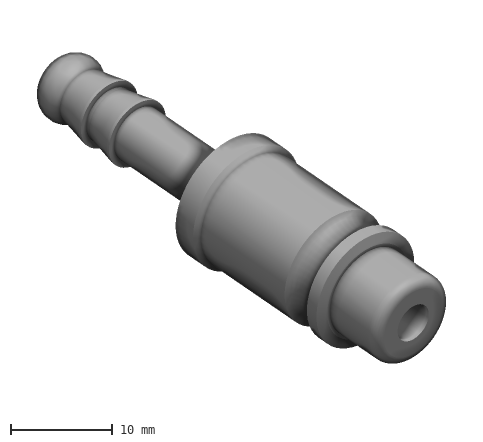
import cadquery as cq

length = 52.0
bore_diameter = 4.1

tip_face_radius = 2.9
barb_radius = 3.75
stem_radius = 6.1 / 2
flange_radius = 14.0 / 2
body_radius = 12.9 / 2
groove_floor_radius = 5.4
nose_radius = 9.9 / 2
collar_face_radius = 5.3

bulb_end = 3.5
first_barb_land = 7.05
barb_land_width = 0.3
barb_neck = 7.8
second_barb_land = 11.2
flange_start = 24.9
flange_end = 27.45
groove_start = 40.3
groove_end = 43.6
collar_end = 45.0
collar_taper = 0.3

stem_fillet = 1.0
flange_chamfer = flange_radius - body_radius
nose_round = 1.1


def add_barb(profile, land_start):
    """Widen the profile along a cone to a short land, then step down to the stem."""
    return (
        profile.lineTo(land_start, barb_radius)
        .lineTo(land_start + barb_land_width, barb_radius)
        .lineTo(land_start + barb_land_width, stem_radius)
    )


profile = (
    cq.Workplane("XY")
    .lineTo(0, tip_face_radius)
    .threePointArc((bulb_end / 2, barb_radius), (bulb_end, stem_radius))
)
profile = add_barb(profile, first_barb_land)
profile = profile.lineTo(barb_neck, stem_radius)
profile = add_barb(profile, second_barb_land)
profile = (
    profile.lineTo(flange_start - stem_fillet, stem_radius)
    .radiusArc((flange_start, stem_radius + stem_fillet), -stem_fillet)
)

profile = (
    profile.lineTo(flange_start, flange_radius)
    .lineTo(flange_end, flange_radius)
    .lineTo(flange_end + flange_chamfer, body_radius)
)

profile = (
    profile.lineTo(groove_start, body_radius)
    .threePointArc(
        ((groove_start + groove_end) / 2, groove_floor_radius),
        (groove_end, body_radius),
    )
    .lineTo(collar_end, body_radius)
    .lineTo(collar_end + collar_taper, collar_face_radius)
    .lineTo(collar_end + collar_taper, nose_radius)
    .lineTo(length - nose_round, nose_radius)
    .radiusArc((length, nose_radius - nose_round), nose_round)
    .lineTo(length, 0)
    .close()
)
turned_body = profile.revolve(360, (0, 0, 0), (1, 0, 0))

bore = cq.Workplane("YZ").circle(bore_diameter / 2).extrude(length)

result = turned_body.cut(bore)